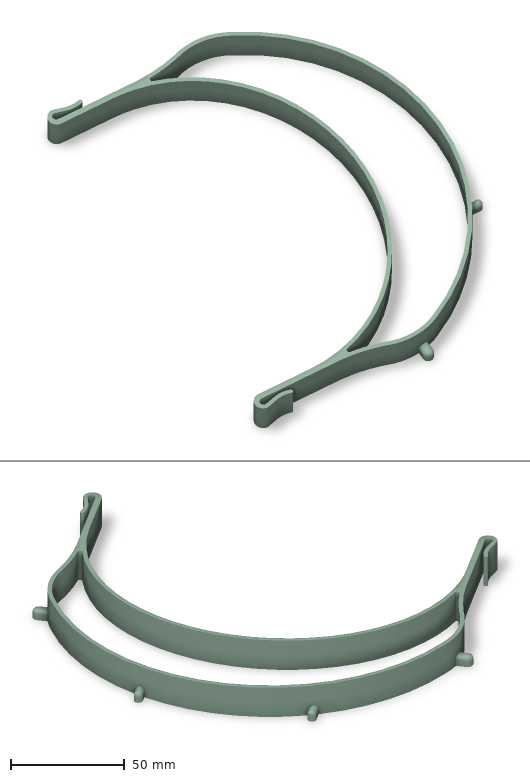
import cadquery as cq

height = 15.0
half_width_x = 98.7
depth = 147.5
wall = 2.0

crown_radius = 99.5
crown_end_y = 93.4
bulge_mid = (92.8, 78.5)
bulge_end = (90.6, 65.3)
flare_mid = (88.2, 55.3)
leg_outer_x = 87.3
flare_end_y = 44.6

opening_half_width = 84.5
opening_top = 105.0
ellipse_center_y = 30.4
crotch_y = 49.5
crotch_radius = 0.5
selection_margin = 0.2

bend_radius = 4.1
bend_x = opening_half_width + bend_radius
bend_inner_radius = 1.8
bend_inner_x = leg_outer_x + bend_inner_radius
neck_y = 13.0
neck_outer_x = 90.8
neck_inner_x = neck_outer_x - wall
neck_start_y = 10.7
neck_start_shift = 0.2
tip_y = 17.2
tip_radius = 1.0
tip_x = 90.5

peg_radius = 2.0
peg_wall_height = 3.0
side_peg_y = 83.9
side_peg_radius = 2.5
side_peg_root_x = 91.2
front_peg_x = 38.9
front_peg_root_y = 138.4
front_peg_tip_y = 145.5


def mirrored(point):
    """Point reflected across the Y axis."""
    return (-point[0], point[1])


def outer_outline():
    """Region enclosed by the outside of the outer band and the legs."""
    center_y = depth - crown_radius
    crown_end = ((crown_radius**2 - (crown_end_y - center_y) ** 2) ** 0.5, crown_end_y)
    flare_end = (leg_outer_x, flare_end_y)
    return (
        cq.Workplane("XY")
        .moveTo(leg_outer_x, bend_radius)
        .lineTo(*flare_end)
        .threePointArc(flare_mid, bulge_end)
        .threePointArc(bulge_mid, crown_end)
        .threePointArc((0, depth), mirrored(crown_end))
        .threePointArc(mirrored(bulge_mid), mirrored(bulge_end))
        .threePointArc(mirrored(flare_mid), mirrored(flare_end))
        .lineTo(-leg_outer_x, bend_radius)
        .close()
    )


def head_region(growth):
    """Head opening, enlarged all round by the given growth."""
    half_width = opening_half_width + growth
    ellipse_height = opening_top + growth - ellipse_center_y
    ellipse = (
        cq.Workplane("XY")
        .center(0, ellipse_center_y)
        .ellipse(half_width, ellipse_height)
        .extrude(height)
    )
    legs = (
        cq.Workplane("XY")
        .rect(2 * half_width, 2 * ellipse_center_y)
        .extrude(height)
    )
    upper = cq.Workplane("XY").rect(4 * half_width, 4 * depth).extrude(height)
    upper = upper.translate((0, 2 * depth + ellipse_center_y, 0))
    return ellipse.intersect(upper).union(legs)


def bands():
    """Both bands, joined into one leg on each side."""
    gap_clip = (
        cq.Workplane("XY")
        .center(0, crotch_y + depth / 2)
        .rect(2 * half_width_x, depth)
        .extrude(height)
    )
    gap = outer_outline().offset2D(-wall).extrude(height)
    gap = gap.cut(head_region(wall)).intersect(gap_clip)
    crotch_edges = cq.selectors.BoxSelector(
        (-half_width_x, crotch_y - selection_margin, -height),
        (half_width_x, crotch_y + selection_margin, 2 * height),
    )
    gap = gap.edges("|Z").edges(crotch_edges).fillet(crotch_radius)
    return outer_outline().extrude(height).cut(gap).cut(head_region(0))


def hook():
    """Return bend and springy tongue below the +X leg."""
    return (
        cq.Workplane("XY")
        .moveTo(opening_half_width, bend_radius)
        .threePointArc((bend_x, 0), (bend_x + bend_radius, bend_radius))
        .lineTo(neck_outer_x + neck_start_shift, neck_start_y)
        .threePointArc((neck_outer_x, neck_y), (tip_x + tip_radius, tip_y))
        .threePointArc((tip_x, tip_y + tip_radius), (tip_x - tip_radius, tip_y))
        .threePointArc((neck_inner_x, neck_y), (neck_inner_x + neck_start_shift, neck_start_y))
        .lineTo(bend_inner_x + bend_inner_radius, bend_radius)
        .threePointArc((bend_inner_x, bend_radius - bend_inner_radius), (leg_outer_x, bend_radius))
        .close()
        .extrude(height)
    )


def capsule(root, tip):
    """Peg along +X with upright walls, a half-round top and a domed tip."""
    length = tip - peg_radius - root
    body = cq.Workplane("XY").box(length, 2 * peg_radius, peg_wall_height, centered=(False, True, False))
    ridge = cq.Workplane("YZ").circle(peg_radius).extrude(length).translate((0, 0, peg_wall_height))
    tip_wall = cq.Workplane("XY").circle(peg_radius).extrude(peg_wall_height).translate((length, 0, 0))
    dome = cq.Workplane("XY").sphere(peg_radius).translate((length, 0, peg_wall_height))
    return body.union(ridge).union(tip_wall).union(dome).translate((root, 0, 0))


def wide_peg(root, tip):
    """Peg along +X with a full-round tip and its upper edges rounded over."""
    length = tip - side_peg_radius - root
    body = (
        cq.Workplane("XY")
        .moveTo(0, -side_peg_radius)
        .lineTo(length, -side_peg_radius)
        .threePointArc((length + side_peg_radius, 0), (length, side_peg_radius))
        .lineTo(0, side_peg_radius)
        .close()
        .extrude(peg_wall_height + peg_radius)
    )
    return body.faces(">Z").edges("not <X").fillet(peg_radius).translate((root, 0, 0))


result = bands()
side_peg = wide_peg(side_peg_root_x, half_width_x).translate((0, side_peg_y, 0))
front_peg = capsule(front_peg_root_y, front_peg_tip_y).rotate((0, 0, 0), (0, 0, 1), 90)
front_peg = front_peg.translate((front_peg_x, 0, 0))
for feature in (hook(), side_peg, front_peg):
    result = result.union(feature).union(feature.mirror("YZ"))